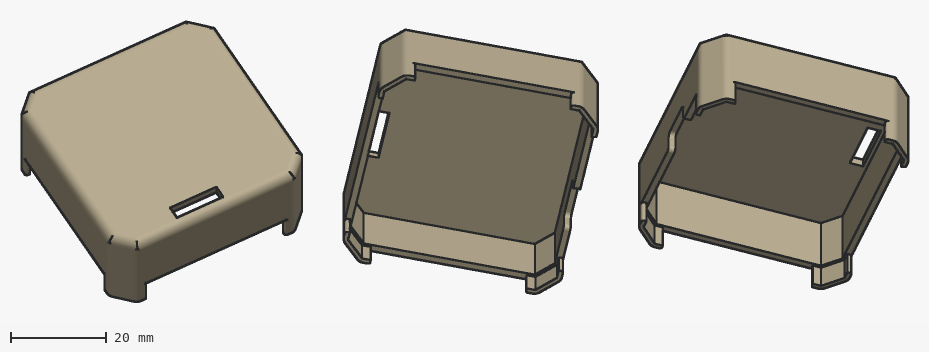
import cadquery as cq

LENGTH_X = 46.49
WIDTH_Y = 46.34
HEIGHT = 20.0

CORNER_CUT = 4.4
RIM_RADIUS = 2.0
CORNER_RADIUS = 2.0

WALL = 1.5
ROOF = 2.0

LEG_HEIGHT = 5.4
LEG_WIDTH = 6.65
LEG_WALL = 1.0
LEG_EDGE_RADIUS = 0.5

NOTCH_WIDTH = 9.0
NOTCH_HEIGHT = 4.5
NOTCH_CENTER_Y = -4.45
NOTCH_RADIUS = 1.0

SLOT_SIZE_X = 2.9
SLOT_SIZE_Y = 11.0
SLOT_CENTER_X = 19.4
SLOT_CENTER_Y = -2.5


def cut_corner_block():
    """Full-height block of the outer plan size with its four upright edges chamfered."""
    block = cq.Workplane("XY").rect(LENGTH_X, WIDTH_Y).extrude(HEIGHT)
    return block.edges("|Z").chamfer(CORNER_CUT)


def outer_body():
    """Rounded top rim with mitred corners, trimmed by rounded upright edges."""
    rounded_rim = cut_corner_block().faces(">Z").edges().fillet(RIM_RADIUS)
    rounded_corners = cut_corner_block().edges("|Z").fillet(CORNER_RADIUS)
    return rounded_rim.intersect(rounded_corners)


def inner_space(thickness, height):
    """Space from the base up to a height, leaving walls of the given thickness."""
    plan = cut_corner_block().faces("<Z").wires().val()
    inner_plan = cq.Workplane("XY").add(plan).toPending().offset2D(-thickness, "intersection")
    return inner_plan.extrude(height)


def leg_channel(length, width):
    """Channel along X between the legs of a body, flared at its ends to round the leg edges."""
    end = length / 2
    flare_start = end - LEG_EDGE_RADIUS
    half_gap = width / 2 - LEG_WIDTH
    half_mouth = half_gap + LEG_EDGE_RADIUS
    plan = (
        cq.Workplane("XY")
        .moveTo(-end, -half_mouth)
        .radiusArc((-flare_start, -half_gap), LEG_EDGE_RADIUS)
        .lineTo(flare_start, -half_gap)
        .radiusArc((end, -half_mouth), LEG_EDGE_RADIUS)
        .lineTo(end, half_mouth)
        .radiusArc((flare_start, half_gap), LEG_EDGE_RADIUS)
        .lineTo(-flare_start, half_gap)
        .radiusArc((-end, half_mouth), LEG_EDGE_RADIUS)
        .close()
    )
    return plan.extrude(LEG_HEIGHT)


def leg_openings():
    """Crossing channels that open all four sides and leave a leg at each corner."""
    channel_x = leg_channel(LENGTH_X, WIDTH_Y)
    channel_y = leg_channel(WIDTH_Y, LENGTH_X).rotate((0, 0, 0), (0, 0, 1), 90)
    return channel_x.union(channel_y)


def cable_notch():
    """Notch through the -X wall with rounded upper corners and a flared mouth."""
    half_width = NOTCH_WIDTH / 2
    half_mouth = half_width + NOTCH_RADIUS
    half_top = half_width - NOTCH_RADIUS
    shoulder = NOTCH_HEIGHT - NOTCH_RADIUS
    profile = (
        cq.Workplane("YZ", origin=(-LENGTH_X / 2, NOTCH_CENTER_Y, LEG_HEIGHT))
        .moveTo(-half_mouth, 0)
        .radiusArc((-half_width, NOTCH_RADIUS), -NOTCH_RADIUS)
        .lineTo(-half_width, shoulder)
        .radiusArc((-half_top, NOTCH_HEIGHT), NOTCH_RADIUS)
        .lineTo(half_top, NOTCH_HEIGHT)
        .radiusArc((half_width, shoulder), NOTCH_RADIUS)
        .lineTo(half_width, NOTCH_RADIUS)
        .radiusArc((half_mouth, 0), -NOTCH_RADIUS)
        .close()
    )
    return profile.extrude(WALL)


def roof_slot():
    """Rectangular slot straight through the roof."""
    slot = cq.Workplane("XY", origin=(SLOT_CENTER_X, SLOT_CENTER_Y, HEIGHT - ROOF))
    return slot.rect(SLOT_SIZE_X, SLOT_SIZE_Y).extrude(ROOF)


result = (
    outer_body()
    .cut(inner_space(WALL, HEIGHT - ROOF))
    .cut(inner_space(LEG_WALL, LEG_HEIGHT))
    .cut(leg_openings())
    .cut(cable_notch())
    .cut(roof_slot())
)